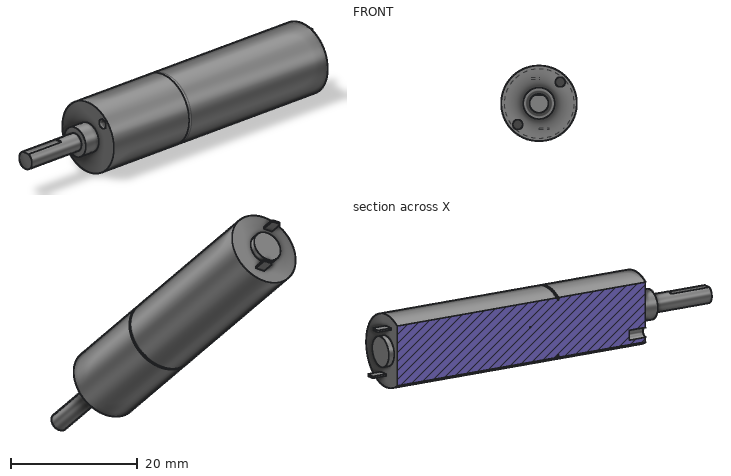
import cadquery as cq

overall_length = 62.2
body_diameter = 12.0
boss_diameter = 5.0
shaft_diameter = 3.0

boss_front = 10.7
gearbox_front = 13.5
can_joint = 29.75
motor_edge_radius = 0.5
terminal_length = 2.5
rear_boss_length = 1.0
motor_rear = overall_length - terminal_length

flat_length = 7.0
flat_depth = 0.2

hole_diameter = 1.55
hole_offset = 3.35
hole_depth = 3.0

terminal_width = 1.55
terminal_thickness = 0.3
terminal_height = 4.0
terminal_offset = 0.75
terminal_corner = 0.3


def cylinder(diameter, start, end, x=0, z=0):
    """Cylinder parallel to Y, from start to end, centred at (x, z)."""
    direction = cq.Vector(0, 1, 0)
    return cq.Workplane(cq.Solid.makeCylinder(diameter / 2, end - start, cq.Vector(x, start, z), direction))


def shaft():
    """Output shaft with a flat on its upper side, next to the tip."""
    flat_cut = cq.Workplane().box(shaft_diameter, flat_length, flat_depth, centered=(True, False, False))
    flat_cut = flat_cut.translate((0, 0, shaft_diameter / 2 - flat_depth))
    return cylinder(shaft_diameter, 0, boss_front).cut(flat_cut)


def housing():
    """Gearbox and motor cans, the motor rounded where they meet, with a boss at each end."""
    gearbox = cylinder(body_diameter, gearbox_front, can_joint)
    motor = cylinder(body_diameter, can_joint, motor_rear).faces("<Y").edges().fillet(motor_edge_radius)
    front_boss = cylinder(boss_diameter, boss_front, gearbox_front)
    rear_boss = cylinder(boss_diameter, motor_rear, motor_rear + rear_boss_length)
    return gearbox.union(motor).union(front_boss).union(rear_boss)


def terminal(side):
    """Flat tab with rounded end corners; side is +1 for the upper tab and -1 for the lower."""
    tab = cq.Workplane().box(terminal_width, terminal_length, terminal_thickness)
    tab = tab.edges("|Z and >Y").fillet(terminal_corner)
    return tab.translate((-side * terminal_offset, motor_rear + terminal_length / 2, side * terminal_height))


result = housing().union(shaft())
for side in (1, -1):
    hole_position = side * hole_offset
    hole = cylinder(hole_diameter, gearbox_front, gearbox_front + hole_depth, hole_position, hole_position)
    result = result.cut(hole).union(terminal(side))